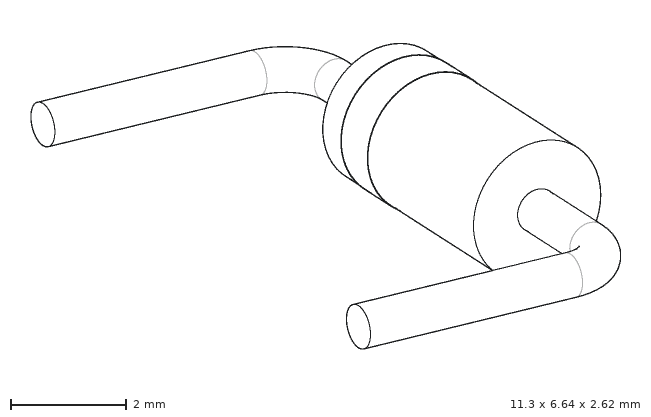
import cadquery as cq

overall_length = 11.26
body_length = 5.0
body_diameter = 2.6
band_diameter = 2.62
band_offset = 0.62
band_width = 0.88
wire_diameter = 0.8
bend_radius = 1.0
overall_depth = 6.64

body_start = -body_length / 2
leg_x = (overall_length - wire_diameter) / 2
bend_start_x = leg_x - bend_radius
tip_y = band_diameter / 2 - overall_depth


def cylinder_along_x(start, length, diameter):
    """Solid cylinder on the X axis, growing toward +X from start."""
    return cq.Workplane("YZ", origin=(start, 0, 0)).circle(diameter / 2).extrude(length)


def bent_wire():
    """One wire through the body, with both leads bent toward -Y."""
    path = (
        cq.Workplane("XY")
        .moveTo(-leg_x, tip_y)
        .lineTo(-leg_x, -bend_radius)
        .tangentArcPoint((-bend_start_x, 0), relative=False)
        .lineTo(bend_start_x, 0)
        .tangentArcPoint((leg_x, -bend_radius), relative=False)
        .lineTo(leg_x, tip_y)
    )
    tip = cq.Workplane("XZ", origin=(-leg_x, tip_y, 0)).circle(wire_diameter / 2)
    return tip.sweep(path)


body = cylinder_along_x(body_start, body_length, body_diameter)
cathode_band = cylinder_along_x(body_start + band_offset, band_width, band_diameter)

result = body.union(cathode_band).union(bent_wire())